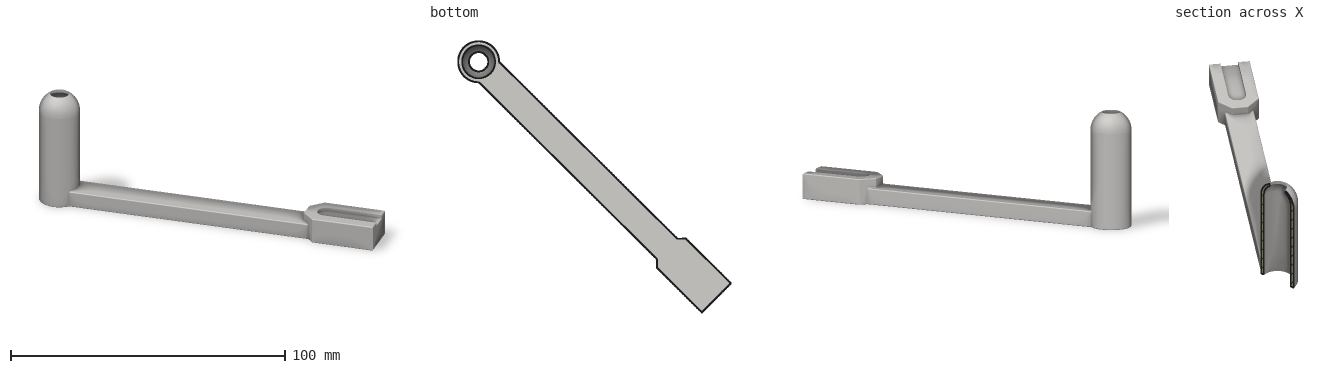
import cadquery as cq
import math

grip_diameter = 15.0
bore_diameter = 12.0
mouth_diameter = 7.0
mouth_depth = 1.2
overall_height = 42.6
arm_angle = 44.8
arm_width = 10.6
arm_height = 6.0
head_start = 94.5
head_end = 122.2
head_width = grip_diameter
head_height = 9.6
head_corner_cut = 4.6
slot_width = 6.6
slot_depth = 1.4
slot_center = 102.1
edge_fillet = 0.4

grip_radius = grip_diameter / 2
bore_radius = bore_diameter / 2
mouth_radius = mouth_diameter / 2


def domed_post(radius, top_height):
    """Round post whose spherical top is cut flat at the mouth diameter."""
    dome_height = math.sqrt(radius**2 - mouth_radius**2)
    shoulder_height = top_height - dome_height
    middle_angle = math.atan2(dome_height, mouth_radius) / 2
    arc_middle = (
        radius * math.cos(middle_angle),
        shoulder_height + radius * math.sin(middle_angle),
    )
    return (
        cq.Workplane("XZ")
        .lineTo(radius, 0)
        .lineTo(radius, shoulder_height)
        .threePointArc(arc_middle, (mouth_radius, top_height))
        .lineTo(0, top_height)
        .close()
        .revolve(360, (0, 0, 0), (0, 1, 0))
    )


def make_arm():
    """Flat bar from the grip axis into the head."""
    arm_length = (head_start + head_end) / 2
    return cq.Workplane("XY").box(arm_length, arm_width, arm_height, centered=(False, True, False))


def make_head():
    """Thicker end block with two cut corners facing the arm."""
    return (
        cq.Workplane("XY")
        .box(head_end - head_start, head_width, head_height, centered=(False, True, False))
        .translate((head_start, 0, 0))
        .edges("|Z and <X")
        .chamfer(head_corner_cut)
    )


def round_edges(body):
    """Round the arm, head, root and grip foot edges, leaving the upright far-end corners sharp."""
    zone_length = 2 * (head_end + grip_diameter)
    zone_height = head_height + edge_fillet
    edge_zone = cq.selectors.BoxSelector(
        (-zone_length, -zone_length, -zone_height),
        (zone_length, zone_length, zone_height),
    )
    end_corners = cq.selectors.StringSyntaxSelector("|Z and >X")
    return body.edges(edge_zone - end_corners).fillet(edge_fillet)


def make_slot():
    """Shallow slot in the head top, rounded inside and open at the far end."""
    floor_height = head_height - slot_depth
    channel = (
        cq.Workplane("XY", origin=(slot_center, 0, floor_height))
        .box(head_end - slot_center, slot_width, slot_depth, centered=(False, True, False))
    )
    round_end = (
        cq.Workplane("XY", origin=(slot_center, 0, floor_height))
        .circle(slot_width / 2)
        .extrude(slot_depth)
    )
    return channel.union(round_end)


def make_bore():
    """Wide domed bore open at the foot, with a narrower mouth through the grip top."""
    mouth = cq.Workplane("XY").circle(mouth_radius).extrude(overall_height)
    return domed_post(bore_radius, overall_height - mouth_depth).union(mouth)


crank = make_arm().union(make_head()).union(domed_post(grip_radius, overall_height))
crank = round_edges(crank).cut(make_slot()).cut(make_bore())
result = crank.rotate((0, 0, 0), (0, 0, 1), arm_angle)